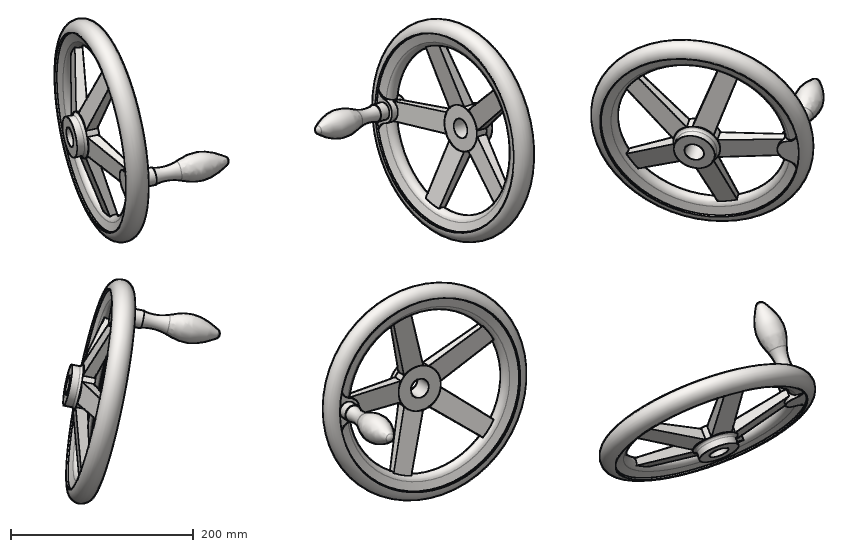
import cadquery as cq
import math


wheel_radius = 125.0
rim_width = 26.0
rim_front = 24.0
rim_round = rim_width / 2
rim_mid = rim_front + rim_round
rim_back = rim_front + rim_width
rim_crest_radius = 112.0
rim_step = 2.0
flank_outer_radius = 111.2
flank_inner_radius = 101.0
flank_inset = 5.0
rim_inner_radius = 95.0

hub_nose_radius = 46.0 / 2
hub_radius = 26.3
hub_fillet = hub_radius - hub_nose_radius
nose_length = 8.3
hub_shoulder = nose_length + hub_fillet
hub_back = 26.0
bore_radius = 22.0 / 2

spoke_count = 5
spoke_axis_width = 25.6
spoke_end_width = 23.0
spoke_end_radius = 98.0
spoke_front_slope = 0.28
spoke_root_radius = math.sqrt(hub_radius**2 - (spoke_axis_width / 2) ** 2)
spoke_end_front = hub_shoulder + spoke_front_slope * (spoke_end_radius - spoke_root_radius)
spoke_end_depth = 8.8
spoke_axis_back = 20.0

handle_offset = 101.0
boss_radius = 14.0
boss_front = rim_front + rim_step
boss_blend_radius = 12.0
collar_radius = 20.0 / 2
collar_length = 10.4
neck_start_radius = 9.5
waist_radius = 8.0
waist_station = 22.0
neck_end_radius = 10.8
neck_end_station = 39.0
belly_radius = 16.2
belly_station = 62.5
neck_end_tangent = (0.4, 1.0)
tip_tangent = (-0.6, 1.0)
tip_radius = 5.0
tip_station = 94.7
handle_length = 97.5


def make_rim():
    """Ring with a half-round outside, a stepped conical flank on each side and a rounded inside."""
    section = (
        cq.Workplane("XY")
        .moveTo(rim_crest_radius, rim_front)
        .threePointArc((wheel_radius, rim_mid), (rim_crest_radius, rim_back))
        .lineTo(flank_outer_radius, rim_back - rim_step)
        .lineTo(flank_inner_radius, rim_back - flank_inset)
        .threePointArc((rim_inner_radius, rim_mid), (flank_inner_radius, rim_front + flank_inset))
        .lineTo(flank_outer_radius, rim_front + rim_step)
        .close()
    )
    return section.revolve(360, (0, 0, 0), (0, 1, 0))


def make_hub():
    """Cylinder with a narrower nose joined by a concave fillet."""
    fillet_mid = hub_fillet * (1 - math.sqrt(0.5))
    section = (
        cq.Workplane("XY")
        .lineTo(hub_nose_radius, 0)
        .lineTo(hub_nose_radius, nose_length)
        .threePointArc(
            (hub_nose_radius + fillet_mid, hub_shoulder - fillet_mid),
            (hub_radius, hub_shoulder),
        )
        .lineTo(hub_radius, hub_back)
        .lineTo(0, hub_back)
        .close()
    )
    return section.revolve(360, (0, 0, 0), (0, 1, 0))


def make_spoke():
    """Spoke along +X, narrowing in width and depth as it leans back towards the rim."""
    half_axis = spoke_axis_width / 2
    half_end = spoke_end_width / 2
    side = (
        cq.Workplane("XY")
        .moveTo(0, hub_shoulder)
        .lineTo(spoke_root_radius, hub_shoulder)
        .lineTo(spoke_end_radius, spoke_end_front)
        .lineTo(spoke_end_radius, spoke_end_front + spoke_end_depth)
        .lineTo(0, spoke_axis_back)
        .close()
        .extrude(spoke_axis_width, both=True)
    )
    plan = (
        cq.Workplane("XZ")
        .moveTo(0, -half_axis)
        .lineTo(spoke_end_radius, -half_end)
        .lineTo(spoke_end_radius, half_end)
        .lineTo(0, half_axis)
        .close()
        .extrude(-rim_back)
    )
    return side.intersect(plan)


def make_handle_boss():
    """Flat pad on the handle axis, flared by tangent arcs into the rim crest."""
    to_boss = boss_radius + boss_blend_radius
    to_axis = rim_crest_radius - boss_blend_radius
    centre_x = (to_axis**2 - to_boss**2 + handle_offset**2) / (2 * handle_offset)
    centre_z = math.sqrt(to_axis**2 - centre_x**2)
    boss_touch_x = handle_offset + (centre_x - handle_offset) * boss_radius / to_boss
    boss_touch_z = centre_z * boss_radius / to_boss
    crest_touch_x = centre_x * rim_crest_radius / to_axis
    crest_touch_z = centre_z * rim_crest_radius / to_axis
    mid_angle = math.atan2(
        crest_touch_z + boss_touch_z - 2 * centre_z, crest_touch_x + boss_touch_x - 2 * centre_x
    )
    flare_mid_x = centre_x + boss_blend_radius * math.cos(mid_angle)
    flare_mid_z = centre_z + boss_blend_radius * math.sin(mid_angle)
    return (
        cq.Workplane("XZ", origin=(0, boss_front, 0))
        .moveTo(crest_touch_x, -crest_touch_z)
        .threePointArc((flare_mid_x, -flare_mid_z), (boss_touch_x, -boss_touch_z))
        .threePointArc((handle_offset - boss_radius, 0), (boss_touch_x, boss_touch_z))
        .threePointArc((flare_mid_x, flare_mid_z), (crest_touch_x, crest_touch_z))
        .threePointArc((rim_crest_radius, 0), (crest_touch_x, -crest_touch_z))
        .close()
        .extrude(-(rim_width - 2 * rim_step))
    )


def make_handle():
    """Turned grip standing on the back of the rim: collar, waisted neck, belly and domed tip."""
    cap_height = handle_length - tip_station
    cap_radius = (tip_radius**2 + cap_height**2) / (2 * cap_height)
    cap_half_angle = math.asin(tip_radius / cap_radius) / 2
    cap_mid_radius = cap_radius * math.sin(cap_half_angle)
    cap_mid_station = handle_length - cap_radius * (1 - math.cos(cap_half_angle))
    section = (
        cq.Workplane("XY", origin=(handle_offset, rim_back, 0))
        .moveTo(0, -rim_round)
        .lineTo(collar_radius, -rim_round)
        .lineTo(collar_radius, collar_length)
        .lineTo(neck_start_radius, collar_length)
        .threePointArc((waist_radius, waist_station), (neck_end_radius, neck_end_station))
        .spline(
            [(belly_radius, belly_station), (tip_radius, tip_station)],
            tangents=[neck_end_tangent, tip_tangent],
            includeCurrent=True,
        )
        .threePointArc((cap_mid_radius, cap_mid_station), (0, handle_length))
        .close()
    )
    return section.revolve(360, (0, 0, 0), (0, 1, 0))


wheel = make_rim().union(make_hub())
spoke = make_spoke()
for index in range(spoke_count):
    wheel = wheel.union(spoke.rotate((0, 0, 0), (0, 1, 0), index * 360 / spoke_count))
wheel = wheel.union(make_handle_boss()).union(make_handle())

bore = cq.Workplane("XZ").circle(bore_radius).extrude(-hub_back)
result = wheel.cut(bore)